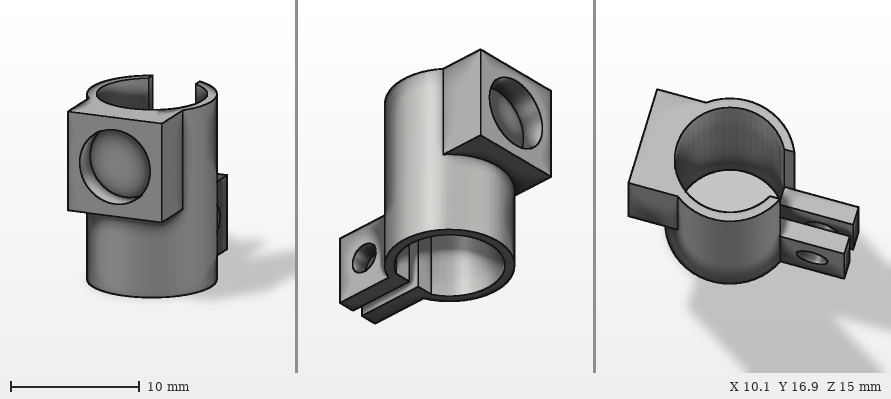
import cadquery as cq

height = 15.0
outer_diameter = 10.1
inner_diameter = 8.6

block_size = 8.01
block_face_y = -7.05
pocket_diameter = 6.0
pocket_depth = 2.0

total_depth = 16.86
lug_end_y = block_face_y + total_depth
lug_length = 6.0
lug_height = 6.0
lug_thickness = 1.5
lug_gap = 1.0
lug_span = 2 * lug_thickness + lug_gap
lug_hole_diameter = 2.5
lug_hole_to_end = 2.6


def box_between(width, y_start, y_end, z_start, z_end):
    """Box centred on X between the given Y and Z limits."""
    return (
        cq.Workplane("XY")
        .box(width, y_end - y_start, z_end - z_start, centered=(True, False, False))
        .translate((0, y_start, z_start))
    )


def make_tube_with_block():
    tube = cq.Workplane("XY").circle(outer_diameter / 2).extrude(height)
    block = box_between(block_size, block_face_y, 0, height - block_size, height)
    bore = cq.Workplane("XY").circle(inner_diameter / 2).extrude(height)
    slot = box_between(lug_span, 0, outer_diameter, 0, height)
    return tube.union(block).cut(bore).cut(slot)


def make_pocket():
    return (
        cq.Workplane("XZ", origin=(0, block_face_y, height - block_size / 2))
        .circle(pocket_diameter / 2)
        .extrude(-pocket_depth)
    )


def make_lugs():
    lug_start_y = lug_end_y - lug_length
    lugs = box_between(lug_span, lug_start_y, lug_end_y, 0, lug_height)
    gap = box_between(lug_gap, lug_start_y, lug_end_y, 0, lug_height)
    hole = (
        cq.Workplane("YZ", origin=(0, lug_end_y - lug_hole_to_end, lug_height / 2))
        .circle(lug_hole_diameter / 2)
        .extrude(lug_span / 2, both=True)
    )
    return lugs.cut(gap).cut(hole)


result = make_tube_with_block().union(make_lugs()).cut(make_pocket())